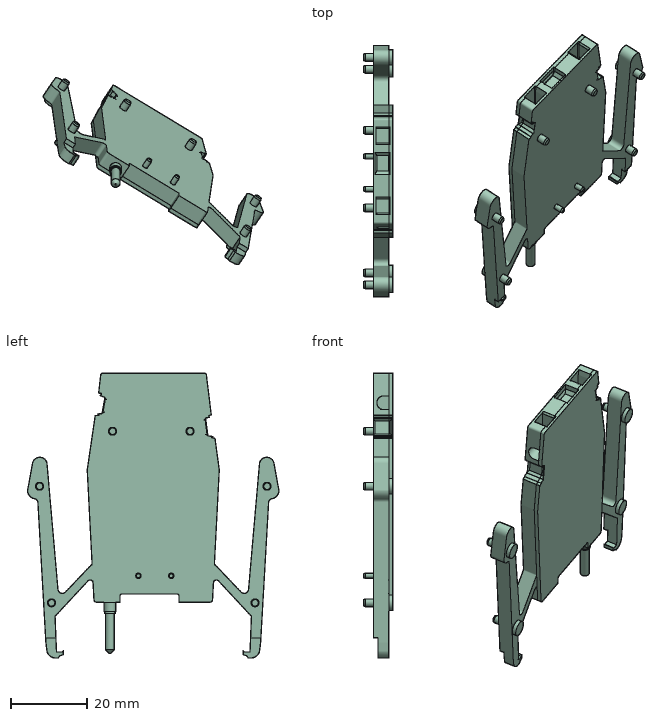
import cadquery as cq
import math

housing_thickness = 4.05
cover_thickness = 1.05
total_thickness = housing_thickness + cover_thickness
height = 74.9

foot_z = 14.7
foot_half_width = 15.6
widest_half_width = 17.4
widest_z = 49.4
flank_slope = (widest_half_width - foot_half_width) / (widest_z - foot_z)
top_radius = 0.6
foot_radius = 0.75

foot_gap_left, foot_gap_right = -6.75, 8.7
foot_gap_z = 16.85
foot_gap_radius = 0.45

top_corner_front = (-13.9, height)
front_notch = [
    (-15.3, 63.9), (-14.5, 63.65), (-14.8, 63.3), (-13.8, 63.05),
    (-14.4, 58.4), (-15.65, 58.25), (-15.4, 57.95), (-16.25, 57.7),
]
top_corner_back = (13.8, height)
back_notch = [
    (14.4, 69.6), (13.55, 69.5), (13.9, 68.95), (12.7, 68.4),
    (13.5, 64.25), (14.6, 64.2), (14.3, 63.8), (15.3, 63.7),
]
window_depth = 0.75
window_taper = 35
window_overlap = 0.15
window_cover_rim = 0.15
window_end_gap = 0.1

arm_tip_y, arm_tip_z = -29.8, 50.8
arm_tip_radius = 1.95
arm_outer_y = -33.055
hook_relief_z = 5.3
hook_kink_z = 4.05
hook_relief_depth = 1.2
strut_embed = 1.5
strut_top_z, strut_bottom_z = 24.7, 21.55
strut_root_top = (-foot_half_width - flank_slope * (strut_top_z - foot_z), strut_top_z)
strut_root_bottom = (-foot_half_width - flank_slope * (strut_bottom_z - foot_z), strut_bottom_z)
arm_crotch = (-24.8, 15.6)
arm_heel = (-25.75, 11.0)
crotch_radius = 1.1
root_bottom_radius = 0.75
root_top_radius = 0.45

boss_diameter = 4.05
small_boss_diameter = 3.0
peg_diameter = 2.1
small_peg_diameter = 1.4
peg_length = 2.55
peg_tip_length = 0.45
peg_tip_inset = 0.19
arm_boss_places = [(-29.9, 45.15), (-26.7, 14.5)]
large_peg_places = [(-9.65, 59.6), (10.7, 59.6)]
small_peg_places = [(-4.7, 21.6), (3.9, 21.6)]

pocket_right_x = 4.4
terminal_left_x = 0.7
front_terminal_span = (-11.0, -7.25)
back_terminal_span = (7.4, 11.15)
terminal_lip = 0.45
front_lip_depth = 0.45
back_lip_depth = 1.5
centre_left_x = 0.45
centre_span = (-0.8, 4.95)
centre_wall_depth = 1.6
centre_funnel_depth = 0.9
centre_inset_x = 0.45
centre_inset_y = 0.9

entry_radius = 1.8
entry_x, entry_z = 2.7, 67.1
terminal_floor_z = entry_z - entry_radius

pin_x = total_thickness / 2
pin_y = 11.4
pin_collar_radius = 1.6
pin_collar_length = 2.5
pin_neck_radius = 1.4
pin_neck_length = 0.45
pin_rod_radius = 1.2
pin_rod_end_z = 2.25
pin_tip_radius = 0.15
pin_tip_z = 1.2


def round_edges(solid, places, radius):
    """Round the edges along X that run through the given (Y, Z) places."""
    middle_x = solid.val().Center().x
    for y, z in places:
        nearest = cq.selectors.NearestToPointSelector((middle_x, y, z))
        solid = solid.edges("|X").edges(nearest).fillet(radius)
    return solid


def body_plate(start_x, thickness):
    """A plate with the outline shared by the housing and its cover."""
    plate = (
        cq.Workplane("YZ", origin=(start_x, 0, 0))
        .polyline([
            top_corner_front, *front_notch,
            (-widest_half_width, widest_z), (-foot_half_width, foot_z),
            (foot_gap_left, foot_z), (foot_gap_left, foot_gap_z),
            (foot_gap_right, foot_gap_z), (foot_gap_right, foot_z),
            (foot_half_width, foot_z), (widest_half_width, widest_z),
            *reversed(back_notch), top_corner_back,
        ])
        .close()
        .extrude(thickness)
    )
    plate = round_edges(plate, [top_corner_front, top_corner_back], top_radius)
    plate = round_edges(plate, [(-foot_half_width, foot_z), (foot_half_width, foot_z)], foot_radius)
    gap_corners = [(foot_gap_left, foot_gap_z), (foot_gap_right, foot_gap_z)]
    return round_edges(plate, gap_corners, foot_gap_radius)


def arm():
    """The front spring arm with its hook, and the strut that joins it to the body."""
    strut_end_y = -foot_half_width + strut_embed
    outline = (
        cq.Workplane("YZ")
        .moveTo(strut_end_y, strut_root_top[1])
        .lineTo(*strut_root_top)
        .lineTo(*arm_crotch)
        .lineTo(arm_tip_y + arm_tip_radius, arm_tip_z)
        .threePointArc((arm_tip_y, arm_tip_z + arm_tip_radius), (arm_tip_y - arm_tip_radius, arm_tip_z + 0.3))
        .lineTo(arm_outer_y, 43.95)
        .threePointArc((-32.5, 42.6), (-31.2, 41.85))
        .threePointArc((-30.55, 41.5), (-30.3, 40.8))
        .lineTo(-28.2, hook_kink_z)
        .lineTo(-27.9, 1.7)
        .threePointArc((-27.2, 0.6), (-25.7, 0))
        .lineTo(-25.0, 0)
        .lineTo(-24.5, 0.6)
        .lineTo(-23.6, 0.9)
        .lineTo(-23.6, 1.95)
        .lineTo(-23.95, 1.65)
        .lineTo(-25.4, 1.65)
        .lineTo(*arm_heel)
        .lineTo(*strut_root_bottom)
        .lineTo(strut_end_y, strut_root_bottom[1])
        .close()
    )
    solid = round_edges(outline.extrude(housing_thickness), [arm_crotch], crotch_radius)
    hook_relief = (
        cq.Workplane("XY", origin=(0, arm_outer_y, 0))
        .box(hook_relief_depth, widest_half_width, hook_relief_z, centered=False)
    )
    return solid.cut(hook_relief)


def cylinder_along_x(place, diameter, start_x, length):
    return cq.Workplane("YZ", origin=(start_x, *place)).circle(diameter / 2).extrude(length)


def peg(place, diameter):
    """A locating peg on the outer face, tapered at its tip."""
    radius = diameter / 2
    y, z = place
    return (
        cq.Workplane("XY", origin=(0, y, z))
        .polyline([
            (0, 0), (0, radius), (peg_tip_length - peg_length, radius),
            (-peg_length, radius - peg_tip_inset), (-peg_length, 0),
        ])
        .close()
        .revolve(360, (0, 0), (1, 0))
    )


def terminal_pocket(span, lip_depth):
    """A deep pocket in the top face with flared lips at both Y ends."""
    low, high = span
    lip_z = height - lip_depth
    return (
        cq.Workplane("YZ", origin=(terminal_left_x, 0, 0))
        .polyline([
            (low - terminal_lip, height), (low, lip_z), (low, terminal_floor_z),
            (high, terminal_floor_z), (high, lip_z), (high + terminal_lip, height),
        ])
        .close()
        .extrude(pocket_right_x - terminal_left_x)
    )


def centre_pocket():
    """The middle pocket: straight walls above a funnel-shaped floor."""
    size_x = pocket_right_x - centre_left_x
    size_y = centre_span[1] - centre_span[0]
    middle = ((centre_left_x + pocket_right_x) / 2, sum(centre_span) / 2, height)
    walls = cq.Workplane("XY", origin=middle).rect(size_x, size_y).extrude(-centre_wall_depth)
    funnel = (
        walls.faces("<Z").workplane(origin=middle)
        .rect(size_x, size_y)
        .workplane(offset=centre_funnel_depth)
        .rect(size_x - 2 * centre_inset_x, size_y - 2 * centre_inset_y)
        .loft(combine=False)
    )
    return walls.union(funnel)


def notch_window(notch, outward):
    """A tapered recess in the floor of a side notch; outward is the sign of Y it faces."""
    (top_y, top_z), (bottom_y, bottom_z) = notch[3], notch[4]
    floor_length = math.hypot(top_y - bottom_y, top_z - bottom_z)
    start_x = -window_overlap
    end_x = total_thickness - window_cover_rim
    face = cq.Plane(
        origin=((start_x + end_x) / 2, (top_y + bottom_y) / 2, (top_z + bottom_z) / 2),
        xDir=(1, 0, 0),
        normal=(0, outward * (top_z - bottom_z), outward * (bottom_y - top_y)),
    )
    return (
        cq.Workplane(face)
        .rect(end_x - start_x, floor_length - 2 * window_end_gap)
        .extrude(-window_depth, taper=window_taper)
    )


def wire_entry():
    """A passage, rounded on its outer side, from the front face into the front terminal pocket."""
    end_y = sum(front_terminal_span) / 2
    length = end_y + widest_half_width
    start = (entry_x, end_y, entry_z)
    round_side = cq.Workplane("XZ", origin=start).circle(entry_radius).extrude(length)
    square_side = (
        cq.Workplane("XZ", origin=start)
        .center((housing_thickness - entry_x) / 2, 0)
        .rect(housing_thickness - entry_x, 2 * entry_radius)
        .extrude(length)
    )
    return round_side.union(square_side)


def openings():
    """Everything cut out of the housing and the cover together."""
    return (
        centre_pocket()
        .union(terminal_pocket(front_terminal_span, front_lip_depth))
        .union(terminal_pocket(back_terminal_span, back_lip_depth))
        .union(notch_window(front_notch, -1))
        .union(notch_window(back_notch, 1))
    )


def make_housing():
    front_arm = arm()
    solid = body_plate(0, housing_thickness).union(front_arm).union(front_arm.mirror("XZ"))
    for side in (1, -1):
        solid = round_edges(solid, [(side * strut_root_bottom[0], strut_root_bottom[1])], root_bottom_radius)
        solid = round_edges(solid, [(side * strut_root_top[0], strut_root_top[1])], root_top_radius)
    solid = solid.cut(openings()).cut(wire_entry())

    arm_places = arm_boss_places + [(-y, z) for y, z in arm_boss_places]
    for place in arm_places:
        solid = solid.union(cylinder_along_x(place, boss_diameter, 0, total_thickness), clean=False)
    for place in large_peg_places:
        solid = solid.union(cylinder_along_x(place, boss_diameter, 0, housing_thickness), clean=False)
    for place in small_peg_places:
        solid = solid.union(cylinder_along_x(place, small_boss_diameter, 0, housing_thickness), clean=False)
    for place in arm_places + large_peg_places:
        solid = solid.union(peg(place, peg_diameter), clean=False)
    for place in small_peg_places:
        solid = solid.union(peg(place, small_peg_diameter), clean=False)
    return solid


def make_cover():
    return body_plate(housing_thickness, cover_thickness).cut(openings())


def make_pin():
    """The contact pin hanging below the back foot."""
    collar_end_z = foot_z - pin_collar_length
    neck_end_z = collar_end_z - pin_neck_length
    return (
        cq.Workplane("XZ", origin=(pin_x, pin_y, 0))
        .polyline([
            (0, foot_z), (pin_collar_radius, foot_z), (pin_collar_radius, collar_end_z),
            (pin_neck_radius, collar_end_z), (pin_neck_radius, neck_end_z),
            (pin_rod_radius, neck_end_z), (pin_rod_radius, pin_rod_end_z),
            (pin_tip_radius, pin_tip_z), (0, pin_tip_z),
        ])
        .close()
        .revolve(360, (0, 0), (0, 1))
    )


housing = make_housing()
cover = make_cover()
pin = make_pin()
result = cq.Compound.makeCompound([housing.val(), cover.val(), pin.val()])